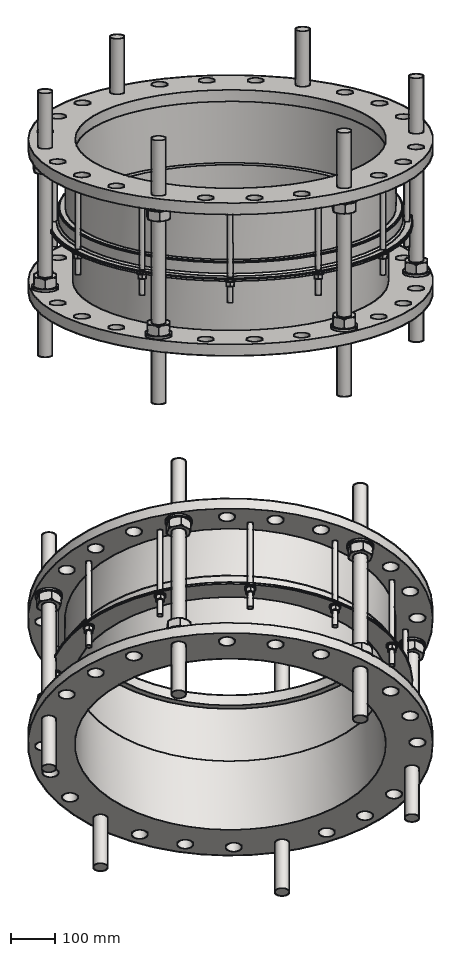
import cadquery as cq


flange_diameter = 910.0
flange_bore = 699.0
flange_outer_z = 181.0
flange_thickness = 27.0
flange_inner_z = flange_outer_z - flange_thickness
bolt_circle_radius = 420.0
bolt_hole_diameter = 36.0
bolt_hole_count = 24
hole_pitch = 360 / bolt_hole_count
first_hole_angle = hole_pitch / 2

lower_tube_diameter = 711.0
upper_tube_diameter = 744.0
upper_tube_bore = 728.0
lower_tube_top_z = 4.0

collar_diameter = 775.0
collar_top_z = 20.0
collar_bottom_z = -8.0
collar_chamfer = 3.0

gasket_lip_diameter = 784.0
gland_diameter = 819.0
gland_top_z = -13.0
gland_thickness = 6.0
gland_bottom_z = gland_top_z - gland_thickness
gland_chamfer = 2.0

rod_diameter = 33.0
rod_length = 625.0
rod_count = 6
rod_washer_diameter = 60.0
rod_washer_thickness = 5.5
rod_nut_width = 50.0
rod_nut_height = 25.0
rod_nut_chamfer = 3.0
upper_nut_turn = 6.0

stud_diameter = 13.0
stud_circle_radius = 396.0
stud_count = 12
stud_bottom_z = -73.0
stud_washer_diameter = 25.5
stud_washer_thickness = 3.0
stud_nut_width = 18.0
stud_nut_height = 12.0
stud_nut_chamfer = 1.0

HEX_CORNERS_PER_FLATS = 2 / 3 ** 0.5


def cylinder(diameter, bottom_z, top_z):
    return cq.Workplane("XY").workplane(offset=bottom_z).circle(diameter / 2).extrude(top_z - bottom_z)


def ring(outer_diameter, inner_diameter, bottom_z, top_z):
    outer = cylinder(outer_diameter, bottom_z, top_z)
    return outer.cut(cylinder(inner_diameter, bottom_z, top_z))


def around_axis(shape, radius, count, first_angle=0.0):
    """Copies of an upright shape spaced evenly on a circle, all facing the same way."""
    spots = cq.Workplane("XY").polarArray(radius, first_angle, 360, count, rotate=False)
    return spots.eachpoint(lambda place: shape.val().moved(place), combine=False)


def hex_nut(width, height, chamfer, bottom_z):
    """Hexagonal nut blank with corners on the Y axis and its corners bevelled at both ends."""
    corner_diameter = width * HEX_CORNERS_PER_FLATS
    hexagon = cq.Workplane("XY").workplane(offset=bottom_z).polygon(6, corner_diameter).extrude(height)
    bevel = cylinder(corner_diameter, bottom_z, bottom_z + height).edges().chamfer(chamfer)
    return hexagon.intersect(bevel).rotate((0, 0, 0), (0, 0, 1), 90)


def make_flange(bottom_z):
    """Drilled ring; the places of the tie rods stay solid, as the rods fill their holes."""
    plate = ring(flange_diameter, flange_bore, bottom_z, bottom_z + flange_thickness)
    hole = cylinder(bolt_hole_diameter, bottom_z, bottom_z + flange_thickness)
    holes_per_rod = bolt_hole_count // rod_count
    for step in range(1, holes_per_rod):
        angle = first_hole_angle + step * hole_pitch
        plate = plate.cut(around_axis(hole, bolt_circle_radius, rod_count, angle))
    return plate


def make_collar():
    collar = cylinder(collar_diameter, collar_bottom_z, collar_top_z)
    collar = collar.faces(">Z").edges().chamfer(collar_chamfer)
    return collar.cut(cylinder(upper_tube_bore, collar_bottom_z, collar_top_z))


def make_gasket():
    """Sleeve filling the gap between the tubes, flaring out between collar and gland."""
    tube_radius = lower_tube_diameter / 2
    profile = [
        (tube_radius, lower_tube_top_z),
        (upper_tube_bore / 2, lower_tube_top_z),
        (upper_tube_bore / 2, collar_bottom_z),
        (collar_diameter / 2, collar_bottom_z),
        (gasket_lip_diameter / 2, gland_top_z),
        (tube_radius, gland_top_z),
    ]
    return cq.Workplane("XZ").polyline(profile).close().revolve(360, (0, 0), (0, 1))


def make_gland():
    gland = cylinder(gland_diameter, gland_bottom_z, gland_top_z)
    gland = gland.faces(">Z").edges().chamfer(gland_chamfer)
    return gland.cut(cylinder(lower_tube_diameter, gland_bottom_z, gland_top_z))


def make_tie_rod():
    """Rod with a washer and nut against the inner face of each flange."""
    washer_end_z = flange_inner_z - rod_washer_thickness
    nut_end_z = washer_end_z - rod_nut_height
    rod = cylinder(rod_diameter, -rod_length / 2, rod_length / 2)
    upper_washer = cylinder(rod_washer_diameter, washer_end_z, flange_inner_z)
    lower_washer = cylinder(rod_washer_diameter, -flange_inner_z, -washer_end_z)
    upper_nut = hex_nut(rod_nut_width, rod_nut_height, rod_nut_chamfer, nut_end_z)
    upper_nut = upper_nut.rotate((0, 0, 0), (0, 0, 1), upper_nut_turn)
    lower_nut = hex_nut(rod_nut_width, rod_nut_height, rod_nut_chamfer, -washer_end_z)
    return rod.union(upper_washer).union(lower_washer).union(upper_nut).union(lower_nut)


def make_gland_stud():
    """Stud hanging from the upper flange, with a washer and nut under the gland."""
    washer_bottom_z = gland_bottom_z - stud_washer_thickness
    nut_bottom_z = washer_bottom_z - stud_nut_height
    stud = cylinder(stud_diameter, stud_bottom_z, flange_inner_z)
    washer = cylinder(stud_washer_diameter, washer_bottom_z, gland_bottom_z)
    nut = hex_nut(stud_nut_width, stud_nut_height, stud_nut_chamfer, nut_bottom_z)
    return stud.union(washer).union(nut)


lower_body = make_flange(-flange_outer_z).union(
    ring(lower_tube_diameter, flange_bore, -flange_inner_z, lower_tube_top_z)
)
upper_body = make_flange(flange_inner_z).union(
    ring(upper_tube_diameter, upper_tube_bore, collar_bottom_z, flange_inner_z)
)
tubes = lower_body.union(upper_body).union(make_collar()).union(make_gasket()).union(make_gland())

tie_rods = around_axis(make_tie_rod(), bolt_circle_radius, rod_count, first_hole_angle)
gland_studs = around_axis(make_gland_stud(), stud_circle_radius, stud_count)

result = tubes.union(gland_studs).union(tie_rods)